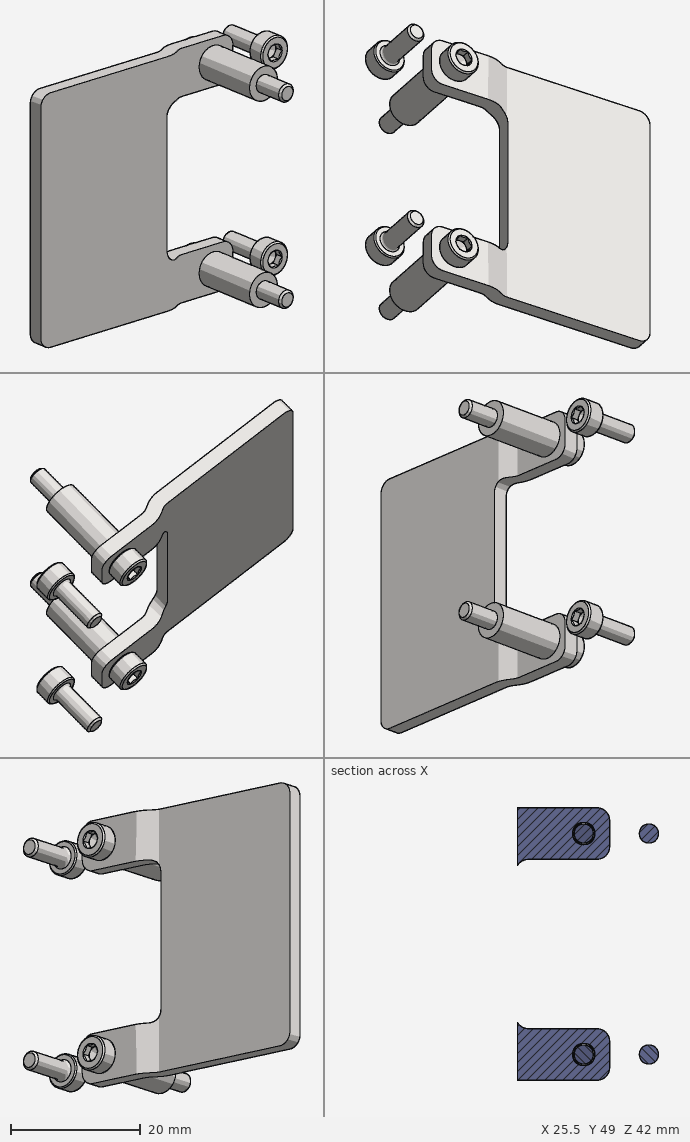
import cadquery as cq
import math


thickness = 2.5
plate_height = 42.0
plate_length = 40.2
tab_height = 8.0
corner_radius = 2.0
tab_offset = 1.3
bend_start = 10.25
bend_angle = math.radians(30)
bend_radius = 2.5
outer_radius = bend_radius + thickness
arcs_offset = (bend_radius + outer_radius) * (1 - math.cos(bend_angle))
arcs_length = (bend_radius + outer_radius) * math.sin(bend_angle)
ramp_length = (tab_offset - arcs_offset) / math.tan(bend_angle)
bend_length = arcs_length + ramp_length
slot_depth = bend_start + bend_length
clearance_diameter = 3.4

thread_diameter = 3.0
shank_length = 8.0
tip_chamfer = 0.35
head_diameter = 5.5
head_height = 3.0
head_chamfer = 0.25
seat_chamfer_width = 0.22
seat_chamfer_depth = 0.2
neck_diameter = 3.5
neck_length = 0.5
socket_width = 2.5
socket_depth = 1.3
socket_entry_depth = 0.2
socket_cone_angle = math.radians(60)

standoff_diameter = 5.7
standoff_length = 11.9
stud_length = 5.65

screw_spacing = 34.0
tab_end_to_screw = 4.0
loose_screw_gap = 10.05
screw_y = plate_length - tab_end_to_screw
loose_screw_y = screw_y + loose_screw_gap
loose_screw_seat_x = 2.5
fastener_heights = (-screw_spacing / 2, screw_spacing / 2)


def cone_along_x(start_x, start_radius, end_radius, length):
    solid = cq.Solid.makeCone(
        start_radius, end_radius, length, pnt=cq.Vector(start_x, 0, 0), dir=cq.Vector(1, 0, 0)
    )
    return cq.Workplane(solid)


def bend_profile():
    """Section of the plate in XY: straight tab, S-shaped double bend, straight main panel."""
    first_y = plate_length - bend_start
    second_y = first_y - bend_length
    first_center_x = outer_radius
    second_center_x = tab_offset - bend_radius

    def first_bend(radius, angle):
        return (first_center_x - radius * math.cos(angle), first_y - radius * math.sin(angle))

    def second_bend(radius, angle):
        return (second_center_x + radius * math.cos(angle), second_y + radius * math.sin(angle))

    half = bend_angle / 2
    return (
        cq.Workplane("XY")
        .moveTo(0, plate_length)
        .lineTo(0, first_y)
        .threePointArc(first_bend(outer_radius, half), first_bend(outer_radius, bend_angle))
        .lineTo(*second_bend(bend_radius, bend_angle))
        .threePointArc(second_bend(bend_radius, half), (tab_offset, second_y))
        .lineTo(tab_offset, 0)
        .lineTo(tab_offset + thickness, 0)
        .lineTo(tab_offset + thickness, second_y)
        .threePointArc(second_bend(outer_radius, half), second_bend(outer_radius, bend_angle))
        .lineTo(*first_bend(bend_radius, bend_angle))
        .threePointArc(first_bend(bend_radius, half), (thickness, first_y))
        .lineTo(thickness, plate_length)
        .close()
    )


def plate_outline():
    """Rounded U outline in YZ, extruded through the full depth of the bent section."""
    depth = tab_offset + thickness
    slot_height = plate_height - 2 * tab_height
    slot_bottom = plate_length - slot_depth
    blank = (
        cq.Workplane("YZ")
        .center(plate_length / 2, 0)
        .rect(plate_length, plate_height)
        .extrude(depth)
    )
    slot = (
        cq.Workplane("YZ")
        .center(slot_bottom + slot_depth / 2, 0)
        .rect(slot_depth, slot_height)
        .extrude(depth)
    )
    return blank.cut(slot).edges("|X").fillet(corner_radius)


def make_plate():
    section = bend_profile().extrude(plate_height / 2, both=True)
    holes = (
        cq.Workplane("YZ")
        .pushPoints([(screw_y, z) for z in fastener_heights])
        .circle(clearance_diameter / 2)
        .extrude(thickness)
    )
    mouth_depth = (neck_diameter - clearance_diameter) / 2
    plate = section.intersect(plate_outline()).cut(holes)
    for z in fastener_heights:
        mouth = cone_along_x(0, neck_diameter / 2, clearance_diameter / 2, mouth_depth)
        plate = plate.cut(mouth.translate((0, screw_y, z)))
    return plate


def make_socket():
    """Hexagonal socket, open at the top of the head (-X), with a countersunk entry and conical bottom."""
    inner_radius = socket_width / 2
    corner_reach = inner_radius / math.cos(math.pi / 6)
    hexagon = (
        cq.Workplane("YZ", origin=(-head_height, 0, 0))
        .polygon(6, 2 * corner_reach)
        .extrude(socket_depth)
    )
    entry = cone_along_x(-head_height, corner_reach, inner_radius, socket_entry_depth)
    bottom_height = inner_radius / math.tan(socket_cone_angle)
    bottom = cone_along_x(socket_depth - head_height, inner_radius, 0, bottom_height)
    return hexagon.union(entry).union(bottom)


def make_screw():
    """Screw along +X, with the seat of its head at the origin."""
    head_radius = head_diameter / 2
    neck_radius = neck_diameter / 2
    shank_radius = thread_diameter / 2
    flare = neck_radius - shank_radius
    flare_radius = (neck_length**2 + flare**2) / (2 * flare)
    flare_mid_angle = math.asin(neck_length / flare_radius) / 2
    flare_mid = (
        neck_length - flare_radius * math.sin(flare_mid_angle),
        shank_radius + flare_radius * (1 - math.cos(flare_mid_angle)),
    )
    body = (
        cq.Workplane("XY")
        .moveTo(-head_height, 0)
        .lineTo(-head_height, head_radius - head_chamfer)
        .lineTo(-head_height + head_chamfer, head_radius)
        .lineTo(-seat_chamfer_width, head_radius)
        .lineTo(0, head_radius - seat_chamfer_depth)
        .lineTo(0, neck_radius)
        .threePointArc(flare_mid, (neck_length, shank_radius))
        .lineTo(shank_length - tip_chamfer, shank_radius)
        .lineTo(shank_length, shank_radius - tip_chamfer)
        .lineTo(shank_length, 0)
        .close()
        .revolve(360, (0, 0, 0), (1, 0, 0))
    )
    return body.cut(make_socket())


def make_standoff():
    """Standoff along +X: screw hole at the origin end, threaded stud at the other end."""
    hole_depth = shank_length - thickness
    sleeve = cq.Workplane("YZ").circle(standoff_diameter / 2).extrude(standoff_length)
    stud = (
        cq.Workplane("YZ", origin=(standoff_length, 0, 0))
        .circle(thread_diameter / 2)
        .extrude(stud_length)
        .faces(">X")
        .chamfer(tip_chamfer)
    )
    hole = cq.Workplane("YZ").circle(thread_diameter / 2).extrude(hole_depth)
    return sleeve.union(stud).cut(hole)


plate = make_plate()
screw = make_screw()
reversed_screw = screw.rotate((0, 0, 0), (0, 0, 1), 180)
standoff = make_standoff()

bodies = [plate.val()]
for height in fastener_heights:
    mounted_screw = screw.translate((0, screw_y, height))
    mounted_standoff = standoff.translate((thickness, screw_y, height))
    loose_screw = reversed_screw.translate((loose_screw_seat_x, loose_screw_y, height))
    bodies += [mounted_screw.val(), mounted_standoff.val(), loose_screw.val()]

result = cq.Compound.makeCompound(bodies)